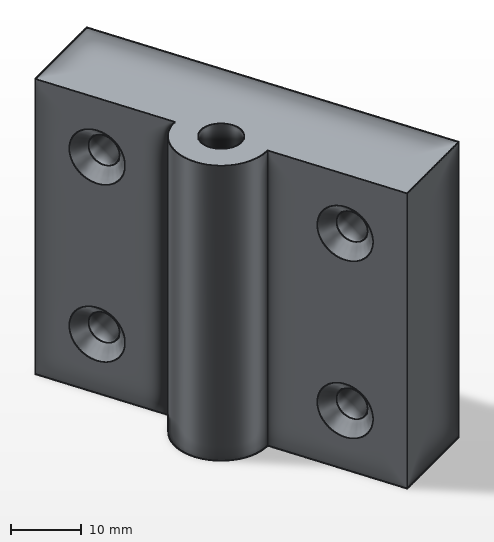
import cadquery as cq

plate_width = 60.0
plate_thickness = 15.0
plate_height = 50.0

barrel_diameter = 15.0
pin_diameter = 6.5

screw_spacing_x = 40.0
screw_spacing_z = 30.0
screw_diameter = 5.0
countersink_diameter = 9.0
countersink_angle = 90.0


def make_plate():
    return cq.Workplane("XY").box(
        plate_width, plate_thickness, plate_height, centered=(True, False, True)
    )


def make_cylinder_on_pin_axis(diameter):
    return cq.Workplane("XY").cylinder(plate_height, diameter / 2)


def cut_screw_holes(body):
    return (
        body.copyWorkplane(cq.Workplane("XZ"))
        .rarray(screw_spacing_x, screw_spacing_z, 2, 2)
        .cskHole(screw_diameter, countersink_diameter, countersink_angle)
    )


body = make_plate().union(make_cylinder_on_pin_axis(barrel_diameter))
body = body.cut(make_cylinder_on_pin_axis(pin_diameter))
result = cut_screw_holes(body)